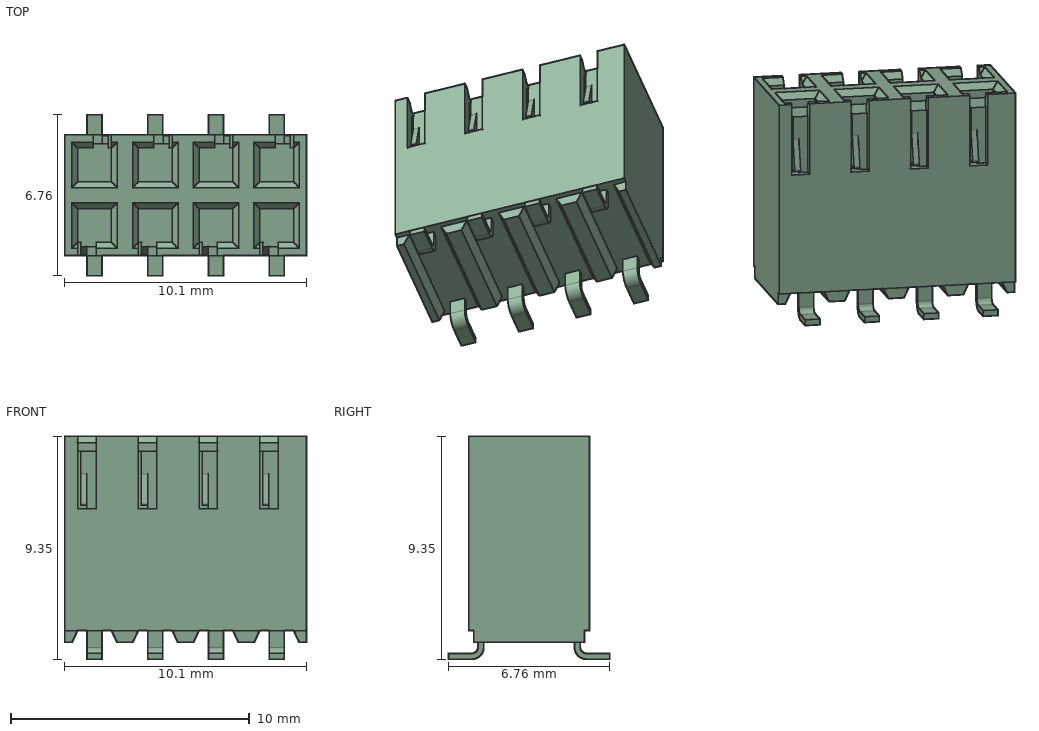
import cadquery as cq

columns = 4
pitch = 2.54
row_y = pitch / 2
body_length = 10.13
body_width = 5.06
body_top = 9.35
body_bottom = 1.21

rib_bottom = 0.71
rib_inset = 0.21
notch_top_width = 1.41
notch_bottom_width = 1.87

mouth_size = 1.9
well_size = 1.42
funnel_depth = 0.28
well_depth = 0.63

slot_left = -well_size / 2
slot_right = 0.06
slot_depth = 0.37
slot_height = 3.04

groove_width = 0.13
groove_depth = body_width / 2 - row_y + slot_left
latch_width = 0.25
latch_left = slot_left + groove_width
latch_right = latch_left + latch_width
latch_top = 1.58
latch_lip_top = 2.83
latch_bottom = 2.91
latch_setback = 0.04

leg_width = 0.64
leg_thickness = 0.25
leg_embedment = 0.2
leg_outer_face = 2.15
leg_span = 6.76
leg_tip = leg_span / 2
bend_inner_radius = 0.25
bend_outer_radius = bend_inner_radius + leg_thickness

front_face = -body_width / 2
slot_floor = body_top - slot_height
column_xs = [(i - (columns - 1) / 2) * pitch for i in range(columns)]


def box(x_range, y_range, z_range):
    """Axis-aligned box given by its limits along each axis."""
    limits = (x_range, y_range, z_range)
    sizes = [high - low for low, high in limits]
    corner = tuple(low for low, high in limits)
    return cq.Workplane("XY").box(*sizes, centered=False).translate(corner)


def side_extrusion(profile, left, right):
    """Extrude a closed Y-Z profile along X between two limits."""
    return profile.extrude(right - left).translate((left, 0, 0))


def make_housing():
    """Solid block standing on a narrower base that notches divide into ribs."""
    main = box(
        (-body_length / 2, body_length / 2),
        (-body_width / 2, body_width / 2),
        (body_bottom, body_top),
    )
    rib_half_width = body_width / 2 - rib_inset
    base = box(
        (-body_length / 2, body_length / 2),
        (-rib_half_width, rib_half_width),
        (rib_bottom, body_bottom),
    )
    notch = (
        cq.Workplane("XZ")
        .moveTo(-notch_bottom_width / 2, rib_bottom)
        .lineTo(notch_bottom_width / 2, rib_bottom)
        .lineTo(notch_top_width / 2, body_bottom)
        .lineTo(-notch_top_width / 2, body_bottom)
        .close()
        .extrude(body_width / 2, both=True)
    )
    for x in column_xs:
        base = base.cut(notch.translate((x, 0, 0)))
    return main.union(base)


def make_socket():
    """Cutter for one front-row socket, including its funnel mouth."""
    funnel = (
        cq.Workplane("XY", origin=(0, -row_y, body_top))
        .rect(mouth_size, mouth_size)
        .workplane(offset=-funnel_depth)
        .rect(well_size, well_size)
        .loft(ruled=True)
    )
    half_well = well_size / 2
    well = box(
        (-half_well, half_well),
        (-row_y - half_well, -row_y + half_well),
        (body_top - well_depth, body_top - funnel_depth),
    )
    return funnel.union(well)


def make_slot():
    """Cutter for one front-row wall slot, with the relief groove and without the latch wedge."""
    slot = box((slot_left, slot_right), (front_face, front_face + slot_depth), (slot_floor, body_top))
    groove_y = (front_face, front_face + groove_depth)
    side_groove = box((slot_left, latch_left), groove_y, (slot_floor, body_top))
    mouth_opening = box((slot_left, slot_right), groove_y, (body_top - well_depth, body_top))
    lower_groove = box((slot_left, latch_right), groove_y, (slot_floor, body_top - latch_bottom))
    wedge_root = front_face + slot_depth
    wedge_nose = front_face + latch_setback
    wedge_profile = (
        cq.Workplane("YZ")
        .moveTo(wedge_root, body_top - latch_top)
        .lineTo(wedge_nose, body_top - latch_lip_top)
        .lineTo(wedge_nose, body_top - latch_bottom)
        .lineTo(wedge_root, body_top - latch_bottom)
        .close()
    )
    wedge = side_extrusion(wedge_profile, latch_left, latch_right)
    return slot.union(mouth_opening).union(side_groove).union(lower_groove).cut(wedge)


def make_leg():
    """One front-row leg: down from the housing, then bent outward to a flat foot."""
    outer_face = -leg_outer_face
    inner_face = outer_face + leg_thickness
    bend_y = outer_face - bend_inner_radius
    bend_z = bend_outer_radius
    leg_top = body_bottom + leg_embedment
    profile = (
        cq.Workplane("YZ")
        .moveTo(inner_face, leg_top)
        .lineTo(inner_face, bend_z)
        .radiusArc((bend_y, 0), bend_outer_radius)
        .lineTo(-leg_tip, 0)
        .lineTo(-leg_tip, leg_thickness)
        .lineTo(bend_y, leg_thickness)
        .radiusArc((outer_face, bend_z), -bend_inner_radius)
        .lineTo(outer_face, leg_top)
        .close()
    )
    return side_extrusion(profile, -leg_width / 2, leg_width / 2)


def at_every_position(feature):
    """Copies along the front row, plus the same turned half round for the back row."""
    turned = feature.rotate((0, 0, 0), (0, 0, 1), 180)
    return [row.translate((x, 0, 0)) for row in (feature, turned) for x in column_xs]


result = make_housing()
for cutter in at_every_position(make_socket().union(make_slot())):
    result = result.cut(cutter)
for leg in at_every_position(make_leg()):
    result = result.union(leg)